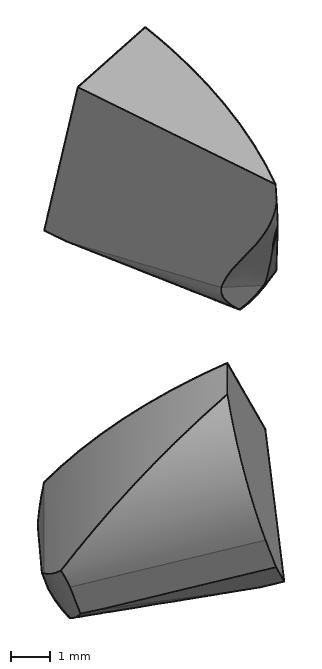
import cadquery as cq
import math

length = 6.08
height = 4.48
side_y = 3.26
front_y = -1.625
tilt = math.radians(21.1)
over = 1.215

front_z = front_y / math.tan(tilt)
top_side_z = -side_y * math.tan(tilt)
low_side_z = -2.53
belly_middle = (1.61, -4.06)
lip_y = front_y + (height + front_z) / math.tan(tilt)

ridge_length = 5.82
side_middle = (3.13, 1.935)
nose_y = -0.32
nose_middle = (5.805, -0.85)
nose_front = (5.39, -1.355)

face_end_z = -1.275
shoulder = (5.91, -3.465)
corner_middle = (5.655, -3.945)
bottom_length = 5.13

face_edge = [(5.96, -0.515), (5.875, -1.275), (5.655, -1.865), (5.23, -2.72), (5.02, -3.405)]
nose_slope = 0.7

blend_start = 0.67
blend_start_radius = 0.005
blend_growth = 0.195


def make_section():
    return (
        cq.Workplane("YZ")
        .moveTo(0, 0)
        .lineTo(side_y, top_side_z)
        .lineTo(side_y, low_side_z)
        .threePointArc(belly_middle, (0, -height))
        .lineTo(lip_y, -height)
        .lineTo(front_y, front_z)
        .close()
        .extrude(length + over)
    )


def make_plan():
    return (
        cq.Workplane("XY", origin=(0, 0, -height - over))
        .moveTo(0, side_y)
        .threePointArc(side_middle, (ridge_length, 0))
        .lineTo(length, nose_y)
        .threePointArc(nose_middle, nose_front)
        .lineTo(nose_front[0], front_y - over)
        .lineTo(0, front_y - over)
        .close()
        .extrude(height + 2 * over)
    )


def make_end_outline():
    return (
        cq.Workplane("XZ", origin=(0, side_y + over, 0))
        .moveTo(0, over)
        .lineTo(length, over)
        .lineTo(length, face_end_z)
        .lineTo(*shoulder)
        .threePointArc(corner_middle, (bottom_length, -height))
        .lineTo(bottom_length, -height - over)
        .lineTo(0, -height - over)
        .close()
        .extrude(side_y - front_y + 2 * over)
    )


def make_nose_blend():
    """Sweep the end curve of the front face obliquely back into the part."""
    depth = side_y - front_y + over
    run = depth / nose_slope
    normal = (0, -math.cos(tilt), math.sin(tilt))
    front_plane = cq.Plane(origin=(0, 0, 0), xDir=(1, 0, 0), normal=normal)
    curve = [(x, z / math.cos(tilt)) for x, z in face_edge]
    wire = (
        cq.Workplane(front_plane)
        .moveTo(-run - over, over)
        .lineTo(ridge_length, over)
        .lineTo(ridge_length, 0)
        .spline(curve, includeCurrent=True)
        .lineTo(face_edge[-1][0], -height - over)
        .lineTo(-run - over, -height - over)
        .close()
        .wires()
        .val()
    )
    return cq.Workplane(cq.Solid.extrudeLinear(wire, [], cq.Vector(run, depth, 0)))


def make_edge_blend():
    """Tapered corner waste between the front face, the lip and a growing round."""
    end_radius = blend_start_radius + blend_growth * (length - blend_start)

    def corner(x, radius):
        plane = cq.Plane(
            origin=(x, front_y, front_z),
            xDir=(0, math.cos(tilt), -math.sin(tilt)),
            normal=(1, 0, 0),
        )
        middle = radius * (1 - math.sqrt(0.5))
        return (
            cq.Workplane(plane)
            .lineTo(radius, 0)
            .threePointArc((middle, middle), (0, radius))
            .close()
            .wires()
            .val()
        )

    wires = [corner(blend_start, blend_start_radius), corner(length, end_radius)]
    return cq.Workplane(cq.Solid.makeLoft(wires, True))


result = make_section().intersect(make_plan()).intersect(make_end_outline())
result = result.intersect(make_nose_blend()).cut(make_edge_blend())